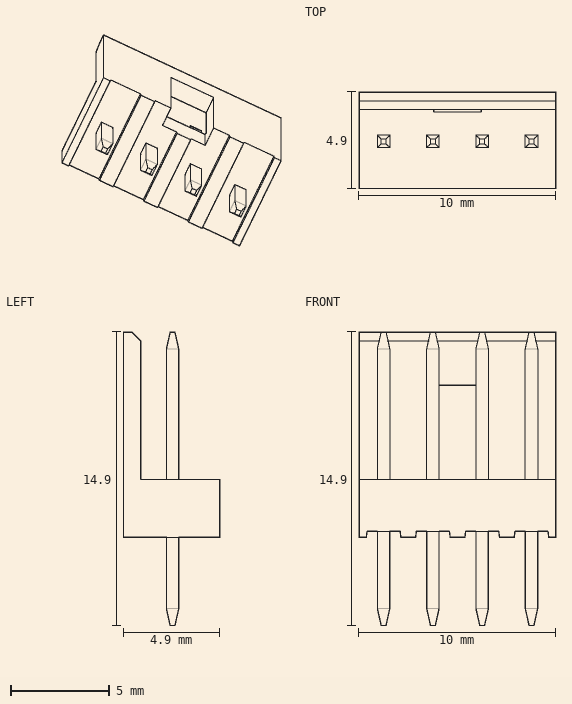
import cadquery as cq


pin_count = 4
pin_pitch = 2.5
pin_width = 0.64
pin_length = 14.9
tip_width = 0.25
tip_length = 0.86

housing_width = 10.0
housing_depth = 4.9
housing_bottom = 4.48
base_top = 7.42
back_y = 2.5
front_y = back_y - housing_depth

wall_thickness = 0.9
wall_chamfer = 0.45
wall_front_y = back_y - wall_thickness

window_width = 2.4
window_top = 12.2
window_overlap = 0.1
window_depth = wall_thickness + window_overlap

groove_height = 0.3
groove_roof_width = 1.67
groove_mouth_width = 1.75

pin_positions = [(i - (pin_count - 1) / 2) * pin_pitch for i in range(pin_count)]


def make_housing():
    """L-shaped base and wall, with a chamfer along the wall's upper front edge."""
    profile = [
        (front_y, housing_bottom),
        (back_y, housing_bottom),
        (back_y, pin_length),
        (wall_front_y + wall_chamfer, pin_length),
        (wall_front_y, pin_length - wall_chamfer),
        (wall_front_y, base_top),
        (front_y, base_top),
    ]
    return cq.Workplane("YZ").polyline(profile).close().extrude(housing_width / 2, both=True)


def make_window():
    """Cutter for the window, open at the back face and at the underside."""
    return cq.Workplane("XY").box(
        window_width,
        window_depth,
        window_top - housing_bottom,
        centered=(True, False, False),
    ).translate((0, back_y - window_depth, housing_bottom))


def make_groove(x):
    """Cutter for a slightly flared groove running front to back below one pin."""
    groove_roof = housing_bottom + groove_height
    profile = [
        (x - groove_mouth_width / 2, housing_bottom),
        (x + groove_mouth_width / 2, housing_bottom),
        (x + groove_roof_width / 2, groove_roof),
        (x - groove_roof_width / 2, groove_roof),
    ]
    return cq.Workplane("XZ", origin=(0, back_y, 0)).polyline(profile).close().extrude(housing_depth)


def make_pin(x):
    """Square pin with a blunt pyramid tip at both ends."""
    shank_end = pin_length - tip_length
    pin = (
        cq.Workplane("XY", origin=(x, 0, tip_length))
        .rect(pin_width, pin_width)
        .extrude(shank_end - tip_length)
    )
    for shoulder_z, end_z in [(shank_end, pin_length), (tip_length, 0)]:
        tip = (
            cq.Workplane("XY", origin=(x, 0, shoulder_z))
            .rect(pin_width, pin_width)
            .workplane(offset=end_z - shoulder_z)
            .rect(tip_width, tip_width)
            .loft()
        )
        pin = pin.union(tip)
    return pin


result = make_housing().cut(make_window())
for pin_x in pin_positions:
    result = result.cut(make_groove(pin_x)).union(make_pin(pin_x))